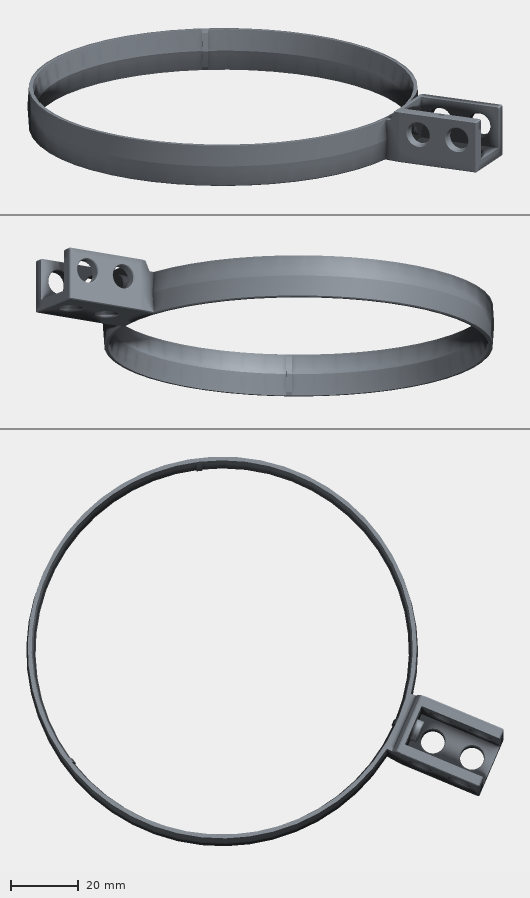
import cadquery as cq

ring_height = 12.5
ring_outer_radius = 57.6
outer_bulge = 0.5
inner_bulge = 1.2
rim_thickness = 1.2

overall_length = 143.8
bracket_height = 15.7
wall_thickness = 3.2
slot_size = 12.5
bracket_start = 56.4
neck_start_width = 17.8
ramp_foot = 58.1
ramp_top = 59.7
edge_chamfer = 0.3
hole_diameter = 7.0
hole_chamfer = 0.3
stud_diameter = 6.5
stud_length = 2.3

rib_count = 3
rib_width = 1.7
rib_height = 0.5
rib_end_run = 1.0

bracket_end = overall_length - ring_outer_radius
bracket_width = slot_size + 2 * wall_thickness
slot_start = bracket_end - 2 * slot_size
slot_center_height = wall_thickness + slot_size / 2
hole_positions = [slot_start + slot_size * step for step in (0.5, 1.5)]

rim_outer_radius = ring_outer_radius - outer_bulge
rim_inner_radius = rim_outer_radius - rim_thickness
waist_inner_radius = rim_inner_radius - inner_bulge


def make_ring():
    half_height = ring_height / 2
    profile = [
        (rim_inner_radius, 0),
        (rim_outer_radius - edge_chamfer, 0),
        (rim_outer_radius, edge_chamfer),
        (ring_outer_radius, half_height),
        (rim_outer_radius, ring_height),
        (rim_inner_radius, ring_height),
        (waist_inner_radius, half_height),
    ]
    return cq.Workplane("XZ").polyline(profile).close().revolve(360, (0, 0, 0), (0, 1, 0))


def make_grip_ribs():
    profile = [
        (rim_inner_radius, 0),
        (rim_inner_radius - rib_height, rib_end_run),
        (waist_inner_radius - rib_height, ring_height / 2),
        (rim_inner_radius - rib_height, ring_height - rib_end_run),
        (rim_inner_radius, ring_height),
    ]
    rib = cq.Workplane("XZ").polyline(profile).close().extrude(rib_width / 2, both=True)
    ribs = cq.Workplane("XY")
    for index in range(rib_count):
        ribs = ribs.add(rib.rotate((0, 0, 0), (0, 0, 1), index * 360 / rib_count))
    return ribs.combine()


def make_bracket_body():
    plan = [
        (bracket_start, -neck_start_width / 2),
        (slot_start, -bracket_width / 2),
        (bracket_end, -bracket_width / 2),
        (bracket_end, bracket_width / 2),
        (slot_start, bracket_width / 2),
        (bracket_start, neck_start_width / 2),
    ]
    side = [
        (bracket_start, 0),
        (bracket_end, 0),
        (bracket_end, bracket_height),
        (ramp_top, bracket_height),
        (ramp_foot, ring_height),
        (bracket_start, ring_height),
    ]
    body = cq.Workplane("XY").polyline(plan).close().extrude(bracket_height)
    side_prism = cq.Workplane("XZ").polyline(side).close().extrude(bracket_width, both=True)
    body = body.intersect(side_prism)
    return body.faces(">Z or >X or <Z").edges("not <X").chamfer(edge_chamfer)


def cut_slot(body):
    slot = cq.Workplane("XY").box(2 * slot_size, slot_size, slot_size, centered=(False, True, False))
    return body.cut(slot.translate((slot_start, 0, wall_thickness)))


def cut_pin_holes(body):
    radius = hole_diameter / 2
    for x in hole_positions:
        cross_hole = cq.Workplane("XZ").center(x, slot_center_height).circle(radius)
        cross_hole = cross_hole.extrude(bracket_width, both=True)
        floor_hole = cq.Workplane("XY").center(x, 0).circle(radius).extrude(bracket_height)
        body = body.cut(cross_hole).cut(floor_hole)
    return body.edges("%CIRCLE").chamfer(hole_chamfer)


def make_stud():
    stud = cq.Workplane("YZ").center(0, slot_center_height).circle(stud_diameter / 2).extrude(stud_length)
    return stud.faces(">X").chamfer(edge_chamfer).translate((slot_start, 0, 0))


bracket = cut_pin_holes(cut_slot(make_bracket_body())).union(make_stud())
result = make_ring().union(make_grip_ribs()).union(bracket)